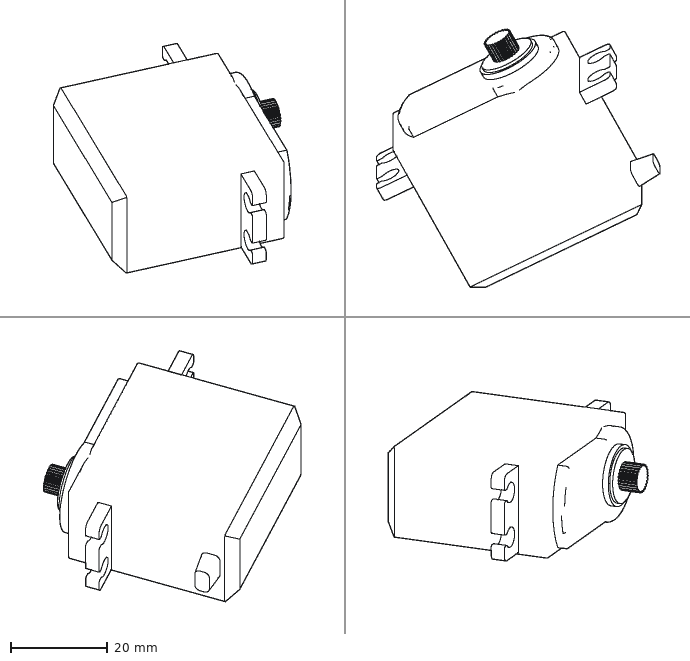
import cadquery as cq
import math

CASE_WIDTH = 40.35
CASE_DEPTH = 37.3
CASE_HEIGHT = 20.0
BACK_CHAMFER = 2.45
EDGE_ROUND = 0.5

TAB_SPAN = 54.65
TAB_HEIGHT = 19.0
TAB_THICKNESS = 3.0
TAB_BACK = 27.6
TAB_CORNER_ROUND = 1.25
SCREW_HOLE_RADIUS = 2.15
SCREW_HOLE_SPACING_X = 48.5
SCREW_HOLE_SPACING_Z = 9.8
SCREW_SLOT_WIDTH = 2.45
SLOT_EDGE_ROUND = 0.5

COVER_THICKNESS = 2.45
COVER_PLATE_HEIGHT = 18.05
COVER_PLATE_END = 17.7
COVER_BULGE_START = 15.15
SHAFT_X = -8.85

LOWER_COLLAR_RADIUS = 6.5
LOWER_COLLAR_LENGTH = 1.3
UPPER_COLLAR_RADIUS = 5.8
UPPER_COLLAR_LENGTH = 0.65
SPLINE_TIP_RADIUS = 3.0
SPLINE_ROOT_RADIUS = 2.75
SPLINE_LENGTH = 4.2
SPLINE_TEETH = 25

BOOT_BASE_DEPTH = 4.1
BOOT_BASE_HEIGHT = 6.8
BOOT_LENGTH = 5.0
BOOT_TAPER = 5.0
BOOT_ROUND = 1.25
BOOT_Y = 5.5

COVER_FRONT = CASE_DEPTH + COVER_THICKNESS


def sketch_at(x, y):
    """Sketch parallel to XZ: local x runs along +X and extrusions run toward +Y."""
    return cq.Workplane(cq.Plane(origin=(x, y, 0), xDir=(1, 0, 0), normal=(0, 1, 0)))


def case_block():
    block = cq.Workplane("XY").box(CASE_WIDTH, CASE_DEPTH, CASE_HEIGHT)
    return block.translate((0, CASE_DEPTH / 2, 0))


def make_case():
    rounded = case_block().edges("|Y or >Y").fillet(EDGE_ROUND)
    chamfered = case_block().faces("<Y").chamfer(BACK_CHAMFER)
    return rounded.intersect(chamfered)


def make_tabs():
    hole_x = SCREW_HOLE_SPACING_X / 2
    hole_z = SCREW_HOLE_SPACING_Z / 2
    end_x = TAB_SPAN / 2
    sketch = sketch_at(0, TAB_BACK)

    tabs = sketch.rect(TAB_SPAN, TAB_HEIGHT).extrude(TAB_THICKNESS)
    holes = sketch.rect(SCREW_HOLE_SPACING_X, SCREW_HOLE_SPACING_Z, forConstruction=True).vertices()
    tabs = tabs.cut(holes.circle(SCREW_HOLE_RADIUS).extrude(TAB_THICKNESS))

    slot_length = 2 * (end_x - hole_x)
    slots = sketch.rect(TAB_SPAN, SCREW_HOLE_SPACING_Z, forConstruction=True).vertices()
    tabs = tabs.cut(slots.rect(slot_length, SCREW_SLOT_WIDTH).extrude(TAB_THICKNESS))

    neck_x = hole_x + math.sqrt(SCREW_HOLE_RADIUS**2 - (SCREW_SLOT_WIDTH / 2) ** 2)
    for x in (-end_x, -neck_x, neck_x, end_x):
        for row_z in (-hole_z, hole_z):
            for z in (row_z - SCREW_SLOT_WIDTH / 2, row_z + SCREW_SLOT_WIDTH / 2):
                slot_edge = cq.selectors.NearestToPointSelector((x, TAB_BACK + TAB_THICKNESS / 2, z))
                tabs = tabs.edges("|Y").edges(slot_edge).fillet(SLOT_EDGE_ROUND)

    for x in (-end_x, end_x):
        for z in (-TAB_HEIGHT / 2, TAB_HEIGHT / 2):
            corner = cq.selectors.NearestToPointSelector((x, TAB_BACK + TAB_THICKNESS / 2, z))
            tabs = tabs.edges("|Y").edges(corner).fillet(TAB_CORNER_ROUND)
    return tabs


def make_cover():
    sketch = sketch_at(0, CASE_DEPTH - EDGE_ROUND)
    length = COVER_THICKNESS + EDGE_ROUND
    half_height = COVER_PLATE_HEIGHT / 2
    disc = sketch.moveTo(SHAFT_X, 0).circle(CASE_HEIGHT / 2).extrude(length)
    plate = (
        sketch.moveTo(SHAFT_X, half_height)
        .lineTo(COVER_BULGE_START, half_height)
        .threePointArc((COVER_PLATE_END, 0), (COVER_BULGE_START, -half_height))
        .lineTo(SHAFT_X, -half_height)
        .close()
        .extrude(length)
    )
    return disc.union(plate).faces(">Y").edges().fillet(EDGE_ROUND)


def make_output_shaft():
    lower_end = COVER_FRONT + LOWER_COLLAR_LENGTH
    upper_end = lower_end + UPPER_COLLAR_LENGTH
    lower = (
        sketch_at(SHAFT_X, COVER_FRONT)
        .circle(LOWER_COLLAR_RADIUS)
        .extrude(LOWER_COLLAR_LENGTH)
    )
    upper = (
        sketch_at(SHAFT_X, lower_end)
        .circle(UPPER_COLLAR_RADIUS)
        .extrude(UPPER_COLLAR_LENGTH)
    )
    outline = []
    quarter_pitch = math.pi / (2 * SPLINE_TEETH)
    for i in range(4 * SPLINE_TEETH):
        radius = SPLINE_TIP_RADIUS if i % 4 < 2 else SPLINE_ROOT_RADIUS
        angle = i * quarter_pitch
        outline.append((radius * math.cos(angle), radius * math.sin(angle)))
    spline = (
        sketch_at(SHAFT_X, upper_end)
        .polyline(outline)
        .close()
        .extrude(SPLINE_LENGTH)
    )
    return lower.union(upper).union(spline)


def make_cable_boot():
    base = cq.Plane(origin=(-CASE_WIDTH / 2, BOOT_Y, 0), xDir=(0, -1, 0), normal=(-1, 0, 0))
    boot = cq.Workplane(base).rect(BOOT_BASE_DEPTH, BOOT_BASE_HEIGHT)
    boot = boot.extrude(BOOT_LENGTH, taper=BOOT_TAPER)
    return boot.edges("not (|Y or |Z)").fillet(BOOT_ROUND)


result = (
    make_case()
    .union(make_tabs())
    .union(make_cover())
    .union(make_output_shaft())
    .union(make_cable_boot())
)